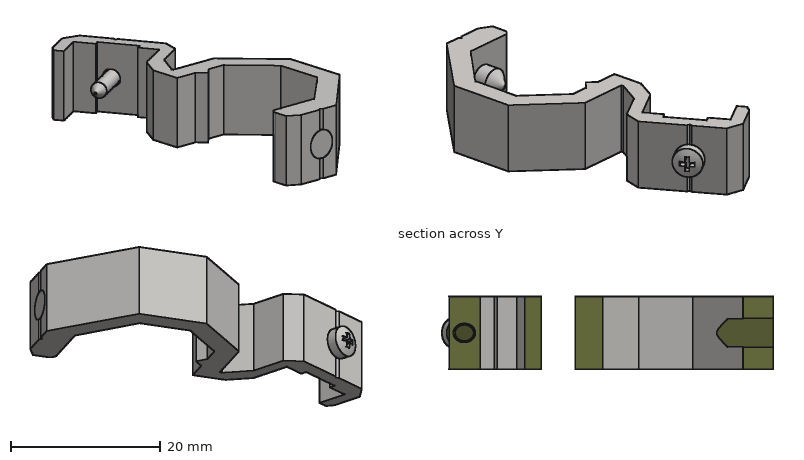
import cadquery as cq
import math

width = 9.8
mid_z = width / 2

upright_wall = 3.1
roof_y = 16.95
roof_wall = 3.0
roof_start_x = 7.3
roof_end_x = 16.9
overall_length = 47.0
hook_outer_x = 26.55
hook_wall = 4.1
hook_inner_x = hook_outer_x - hook_wall
hook_end_y = -1.0
hook_inner_top_y = 7.05
hook_chamfer_x = 1.05
hook_chamfer_y = 1.8
hook_fillet = 0.95
upright_inner_top_y = 8.5
inner_roof_y = roof_y - roof_wall
inner_roof_start_x = upright_wall + inner_roof_y - upright_inner_top_y
inner_roof_end_x = 15.75

pin_y = 4.55
pin_diameter = 4.0
pin_tip_diameter = 0.35
pin_tip_x = 18.53
pin_shoulder_x = 20.4
tooth_height = 1.18
tooth_half_base = 1.2

mark_depth = 0.35
mark_half_width = 0.35

link_top_y = 2.15
link_top_x = -0.35
link_foot_x = -1.6

tilt_angle = math.radians(30)
screw_x = -15.38
screw_y = 6.0
back_start_u = -5.1
back_end_u = 7.0
jaw_outer_u = -6.95
jaw_inner_u = -5.05
jaw_corner_x = hook_outer_x - overall_length
jaw_corner_v = (screw_x - jaw_corner_x + jaw_outer_u * math.cos(tilt_angle)) / math.sin(tilt_angle)
jaw_end_v = -7.4
jaw_chamfer_u = 0.5
jaw_chamfer_v = 1.05
recess_v = -2.1
recess_left_u = -1.95
recess_right_u = 4.0
land_v = -2.95
leg_inner_u = 7.0
leg_outer_u = 8.95
leg_outer_top_v = -1.97
leg_outer_foot_v = -7.15
leg_inner_foot_v = -8.85

hole_diameter = 2.5
shank_diameter = 2.2
head_diameter = 4.2
head_height = 1.4
dome_height = 0.55
shoulder_v = -7.85
screw_tip_v = -9.4
screw_tip_diameter = 0.35
drive_length = 2.05
drive_width = 0.6
drive_depth = 1.18


def tilted(u, v):
    """Return the X, Y position of a point given in the small hook's tilted frame."""
    return (
        screw_x + u * math.cos(tilt_angle) - v * math.sin(tilt_angle),
        screw_y + u * math.sin(tilt_angle) + v * math.cos(tilt_angle),
    )


def make_bracket():
    large_hook_outside = [
        (link_top_x, link_top_y),
        (0, link_top_y),
        (0, roof_y - roof_start_x),
        (roof_start_x, roof_y),
        (roof_end_x, roof_y),
        (hook_outer_x, roof_y - (hook_outer_x - roof_end_x)),
        (hook_outer_x, pin_y + mark_half_width),
        (hook_outer_x - mark_depth, pin_y),
        (hook_outer_x, pin_y - mark_half_width),
        (hook_outer_x, hook_end_y + hook_chamfer_y),
        (hook_outer_x - hook_chamfer_x, hook_end_y),
    ]
    large_hook_inside = [
        (hook_inner_x, hook_end_y),
        (hook_inner_x, hook_inner_top_y),
        (inner_roof_end_x, inner_roof_y),
        (inner_roof_start_x, inner_roof_y),
        (upright_wall, upright_inner_top_y),
        (upright_wall, pin_y + tooth_half_base),
        (upright_wall + tooth_height, pin_y),
        (upright_wall, pin_y - tooth_half_base),
        (upright_wall, 0),
        (link_foot_x, 0),
    ]
    small_hook = [
        (leg_inner_u, leg_inner_foot_v),
        (leg_inner_u, land_v),
        (recess_right_u, land_v),
        (recess_right_u, recess_v),
        (recess_left_u, recess_v),
        (recess_left_u, land_v),
        (jaw_inner_u, land_v),
        (jaw_inner_u, jaw_end_v),
        (jaw_outer_u + jaw_chamfer_u, jaw_end_v),
        (jaw_outer_u, jaw_end_v + jaw_chamfer_v),
        (jaw_outer_u, jaw_corner_v),
        (back_start_u, 0),
        (-mark_half_width, 0),
        (0, -mark_depth),
        (mark_half_width, 0),
        (back_end_u, 0),
        (leg_outer_u, leg_outer_top_v),
        (leg_outer_u, leg_outer_foot_v),
    ]
    outline = large_hook_outside + large_hook_inside + [tilted(u, v) for u, v in small_hook]
    bracket = cq.Workplane("XY").polyline(outline).close().extrude(width)

    inner_end_edge = cq.selectors.NearestToPointSelector((hook_inner_x, hook_end_y, mid_z))
    bracket = bracket.edges("|Z").edges(inner_end_edge).fillet(hook_fillet)

    pin_start = cq.Workplane("YZ", origin=(hook_inner_x, pin_y, mid_z))
    pin_hole = pin_start.circle(pin_diameter / 2).extrude(hook_wall)
    screw_hole = screw_plane().circle(hole_diameter / 2).extrude(recess_v)
    return bracket.cut(pin_hole).cut(screw_hole)


def screw_plane():
    """Plane on the back of the small hook: local X along u, normal along v."""
    along_back = (math.cos(tilt_angle), math.sin(tilt_angle), 0)
    outward = (-math.sin(tilt_angle), math.cos(tilt_angle), 0)
    return cq.Workplane(cq.Plane(origin=(screw_x, screw_y, mid_z), xDir=along_back, normal=outward))


def make_set_pin():
    profile = [
        (hook_outer_x, 0),
        (hook_outer_x, pin_diameter / 2),
        (pin_shoulder_x, pin_diameter / 2),
        (pin_tip_x, pin_tip_diameter / 2),
        (pin_tip_x, 0),
    ]
    pin = cq.Workplane("XY").polyline(profile).close().revolve(360, (0, 0, 0), (1, 0, 0))
    return pin.translate((0, pin_y, mid_z))


def make_screw():
    head_radius = head_diameter / 2
    crown_v = head_height + dome_height
    dome_radius = (head_radius**2 + dome_height**2) / (2 * dome_height)
    dome_mid_r = head_radius / 2
    dome_mid_v = crown_v - dome_radius + math.sqrt(dome_radius**2 - dome_mid_r**2)

    plane = screw_plane().plane
    half_section = cq.Workplane(cq.Plane(origin=plane.origin, xDir=plane.xDir, normal=(0, 0, 1)))
    screw = (
        half_section.moveTo(0, screw_tip_v)
        .lineTo(screw_tip_diameter / 2, screw_tip_v)
        .lineTo(shank_diameter / 2, shoulder_v)
        .lineTo(shank_diameter / 2, 0)
        .lineTo(head_radius, 0)
        .lineTo(head_radius, head_height)
        .threePointArc((dome_mid_r, dome_mid_v), (0, crown_v))
        .close()
        .revolve(360, (0, 0, 0), (0, 1, 0))
    )

    crown = screw_plane().workplane(offset=crown_v)
    for length_u, length_z in [(drive_length, drive_width), (drive_width, drive_length)]:
        screw = screw.cut(crown.rect(length_u, length_z).extrude(-drive_depth))
    return screw


bracket = make_bracket()
set_pin = make_set_pin()
screw = make_screw()

result = cq.Compound.makeCompound([bracket.val(), set_pin.val(), screw.val()])